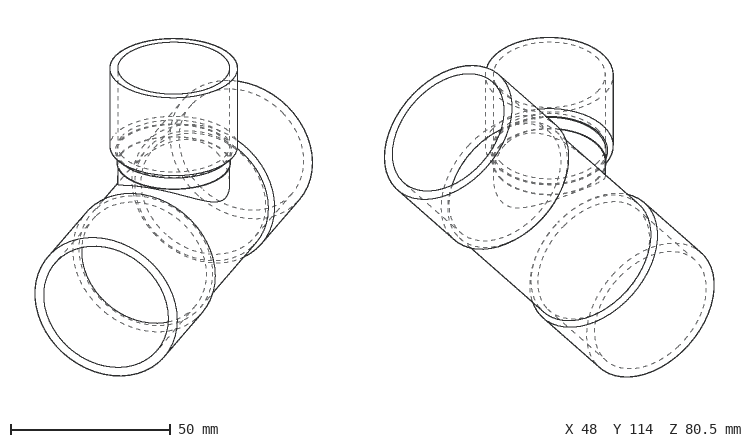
import cadquery as cq

run_length = 114.0
run_body_diameter = 45.0
run_collar_diameter = 48.0
run_collar_length = 32.0
run_bore_diameter = 42.0
run_bevel = (run_collar_diameter - run_body_diameter) / 2

branch_height = 56.5
branch_root_diameter = 35.0
branch_neck_diameter = 35.5
branch_neck_bottom = 23.0
branch_collar_diameter = 40.0
branch_collar_length = 27.5
branch_bevel = 1.75
branch_bore_diameter = 35.0

run_socket_depth = run_collar_length
branch_socket_depth = branch_collar_length


def pipe_along_y(diameter, length):
    """Solid cylinder along Y, centred on the origin."""
    return cq.Workplane("XZ").circle(diameter / 2).extrude(length / 2, both=True)


def cylinder_down(top, diameter, length):
    """Solid cylinder on the Z axis, going down from the height `top`."""
    return cq.Workplane("XY").workplane(offset=top).circle(diameter / 2).extrude(-length)


def collar(top, diameter, straight_length, bevel):
    """Collar on the Z axis, with its lower outer edge bevelled below the straight part."""
    blank = cylinder_down(top, diameter, straight_length + bevel)
    return blank.faces("<Z").chamfer(bevel)


def at_both_run_ends(shape):
    """Copies of a shape modelled on +Z, laid onto +Y and -Y."""
    for angle in (-90, 90):
        yield shape.rotate((0, 0, 0), (1, 0, 0), angle)


run_end = run_length / 2
run_collar = collar(run_end, run_collar_diameter, run_collar_length, run_bevel)
body = pipe_along_y(run_body_diameter, run_length)
for end_collar in at_both_run_ends(run_collar):
    body = body.union(end_collar)

branch_root = cylinder_down(branch_height, branch_root_diameter, branch_height)
branch_neck = cylinder_down(branch_height, branch_neck_diameter, branch_height - branch_neck_bottom)
branch_collar = collar(branch_height, branch_collar_diameter, branch_collar_length, branch_bevel)
body = body.union(branch_root).union(branch_neck).union(branch_collar)

run_socket = cylinder_down(run_end, run_bore_diameter, run_socket_depth)
for end_socket in at_both_run_ends(run_socket):
    body = body.cut(end_socket)
branch_socket = cylinder_down(branch_height, branch_bore_diameter, branch_socket_depth)

result = body.cut(branch_socket)